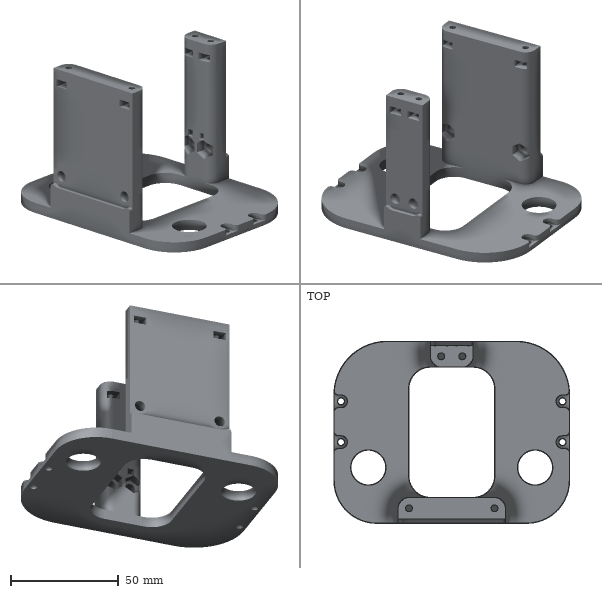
import cadquery as cq
import math

plate_length = 110.0
plate_width = 85.0
plate_thickness = 5.1
front_corner_radius = 20.0
back_corner_radius = 25.0

opening_length = 40.0
opening_corner_radius = 10.0

large_hole_diameter = 16.3
large_hole_side_inset = 16.1
large_hole_front_inset = 26.1

screw_hole_diameter = 3.2
notch_radius = 3.0
notch_mouth_radius = 2.1
notch_depth = 2.8
notch_side_inset = 3.3
notch_front_insets = (38.0, 57.0)

total_height = 74.2
ledge_depth = 2.0
post_depth = 10.1
post_corner_radius = post_depth / 2
bore_side_inset = post_depth / 2
front_post_width = 50.0
back_post_width = 20.0
top_hole_depth = 10.0

slot_width = 6.2
slot_height = 3.6
slot_top_margin = 5.1

bore_diameter = 5.2
bore_height = 21.5
hex_across_flats = 8.1
hex_depth = 4.8
ledge_height = 16.1
ledge_horn_radius = 1.3

recess_width = 2.4
recess_height = 3.2
recess_depth = 4.4
recess_mouth_radius = 1.0
recess_rise = 6.3

half_length = plate_length / 2
half_width = plate_width / 2


def make_notch(front_inset):
    """Open-sided recess with a flared mouth and a through hole, on the -X side."""
    hole_x = -half_length + notch_side_inset
    hole_y = -half_width + front_inset
    mouth_half = notch_radius + notch_mouth_radius
    flare_x = -half_length + notch_mouth_radius
    flare_mid_x = flare_x - notch_mouth_radius * math.sqrt(0.5)
    flare_mid_y = mouth_half - notch_mouth_radius * math.sqrt(0.5)
    recess = (
        cq.Workplane("XY", origin=(0, hole_y, plate_thickness - notch_depth))
        .moveTo(-half_length, -mouth_half)
        .threePointArc((flare_mid_x, -flare_mid_y), (flare_x, -notch_radius))
        .lineTo(hole_x, -notch_radius)
        .threePointArc((hole_x + notch_radius, 0), (hole_x, notch_radius))
        .lineTo(flare_x, notch_radius)
        .threePointArc((flare_mid_x, flare_mid_y), (-half_length, mouth_half))
        .close()
        .extrude(notch_depth)
    )
    hole = (
        cq.Workplane("XY")
        .center(hole_x, hole_y)
        .circle(screw_hole_diameter / 2)
        .extrude(plate_thickness)
    )
    return recess.union(hole)


def make_plate():
    plate = cq.Workplane("XY").box(
        plate_length, plate_width, plate_thickness, centered=(True, True, False)
    )
    plate = plate.edges("|Z and <Y").fillet(front_corner_radius)
    plate = plate.edges("|Z and >Y").fillet(back_corner_radius)

    opening_width = plate_width - 2 * (ledge_depth + post_depth)
    opening = (
        cq.Workplane("XY")
        .rect(opening_length, opening_width)
        .extrude(plate_thickness)
        .edges("|Z")
        .fillet(opening_corner_radius)
    )
    large_hole_x = half_length - large_hole_side_inset
    large_hole_y = -half_width + large_hole_front_inset
    large_holes = (
        cq.Workplane("XY")
        .pushPoints([(-large_hole_x, large_hole_y), (large_hole_x, large_hole_y)])
        .circle(large_hole_diameter / 2)
        .extrude(plate_thickness)
    )
    plate = plate.cut(opening).cut(large_holes)
    for front_inset in notch_front_insets:
        notch = make_notch(front_inset)
        plate = plate.cut(notch).cut(notch.mirror("YZ"))
    return plate


def make_ledge_relief(width):
    """Space above the outer ledge, whose top curves round each bore and ends in rounded horns."""
    edge_x = width / 2
    bore_x = edge_x - bore_side_inset
    relief_radius = bore_height - ledge_height
    center_distance = relief_radius + ledge_horn_radius

    horn_x = edge_x - ledge_horn_radius
    horn_z = bore_height - math.sqrt(center_distance**2 - (horn_x - bore_x) ** 2)
    tangent_angle = math.atan2(horn_z - bore_height, horn_x - bore_x)
    tangent_x = bore_x + relief_radius * math.cos(tangent_angle)
    tangent_z = bore_height + relief_radius * math.sin(tangent_angle)
    relief_mid_angle = (tangent_angle - math.pi / 2) / 2
    relief_mid_x = bore_x + relief_radius * math.cos(relief_mid_angle)
    relief_mid_z = bore_height + relief_radius * math.sin(relief_mid_angle)
    horn_top_z = horn_z + ledge_horn_radius

    return (
        cq.Workplane("XZ")
        .moveTo(-edge_x, total_height)
        .lineTo(-edge_x, horn_z)
        .threePointArc((-horn_x, horn_top_z), (-tangent_x, tangent_z))
        .threePointArc((-relief_mid_x, relief_mid_z), (-bore_x, ledge_height))
        .lineTo(bore_x, ledge_height)
        .threePointArc((relief_mid_x, relief_mid_z), (tangent_x, tangent_z))
        .threePointArc((horn_x, horn_top_z), (edge_x, horn_z))
        .lineTo(edge_x, total_height)
        .close()
        .extrude(-ledge_depth)
    )


def make_post_cuts(bore_x):
    """All openings on the +X bore line of a post whose outer face lies at Y = 0."""
    inner_y = ledge_depth + post_depth
    slot = cq.Workplane("XY").box(slot_width, inner_y, slot_height, centered=(True, False, False))
    slot = slot.translate((bore_x, 0, total_height - slot_top_margin - slot_height))
    top_hole = (
        cq.Workplane("XY", origin=(bore_x, inner_y - post_depth / 2, total_height))
        .circle(screw_hole_diameter / 2)
        .extrude(-top_hole_depth)
    )
    bore = (
        cq.Workplane("XZ", origin=(bore_x, 0, bore_height))
        .circle(bore_diameter / 2)
        .extrude(-inner_y)
    )
    hex_across_corners = hex_across_flats / math.cos(math.pi / 6)
    hex_pocket = (
        cq.Workplane("XZ", origin=(bore_x, inner_y, bore_height))
        .transformed(rotate=(0, 0, 90))
        .polygon(6, hex_across_corners)
        .extrude(hex_depth)
    )
    return slot.union(top_hole).union(bore).union(hex_pocket)


def make_back_recess():
    """Recess on the +X side of the back post, in the frame of a post whose outer face is at Y = 0."""
    inner_y = ledge_depth + post_depth
    outer_wall_x = back_post_width / 2 - post_corner_radius
    inner_wall_x = outer_wall_x - recess_width
    mouth_x = inner_wall_x - recess_mouth_radius
    mouth_mid = recess_mouth_radius * math.sqrt(0.5)
    mouth_y = inner_y - recess_mouth_radius
    recess_bottom = bore_height + recess_rise - recess_height / 2
    return (
        cq.Workplane("XY", origin=(0, 0, recess_bottom))
        .moveTo(mouth_x, inner_y)
        .threePointArc((mouth_x + mouth_mid, mouth_y + mouth_mid), (inner_wall_x, mouth_y))
        .lineTo(inner_wall_x, inner_y - recess_depth)
        .lineTo(outer_wall_x, inner_y - recess_depth)
        .lineTo(outer_wall_x, inner_y)
        .close()
        .extrude(recess_height)
    )


def make_post(width):
    """Post with its outer face at Y = 0 and its rounded inner corners toward +Y."""
    post = (
        cq.Workplane("XY")
        .box(width, ledge_depth + post_depth, total_height, centered=(True, False, False))
        .edges("|Z and >Y")
        .fillet(post_corner_radius)
    )
    cuts = make_post_cuts(width / 2 - bore_side_inset)
    post = post.cut(make_ledge_relief(width))
    return post.cut(cuts).cut(cuts.mirror("YZ"))


front_post = make_post(front_post_width).translate((0, -half_width, 0))
back_recess = make_back_recess()
back_post = (
    make_post(back_post_width)
    .cut(back_recess)
    .cut(back_recess.mirror("YZ"))
    .rotate((0, 0, 0), (0, 0, 1), 180)
    .translate((0, half_width, 0))
)
result = make_plate().union(front_post).union(back_post)